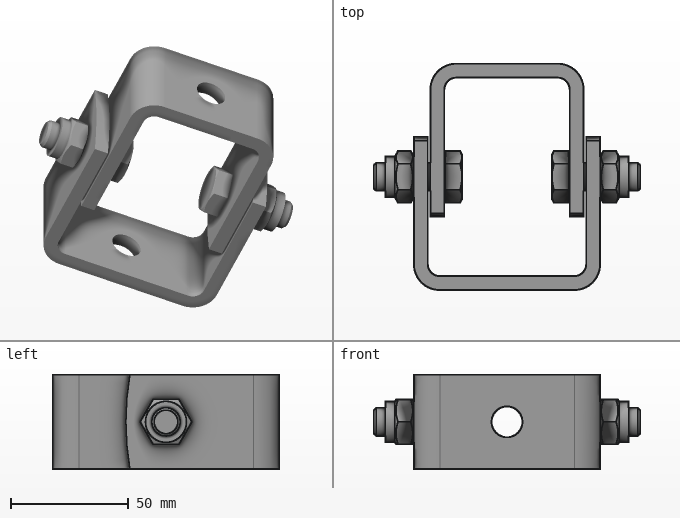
import cadquery as cq
import math

strip_thickness = 6.0
strip_width = 40.0
bend_inner_radius = 5.0
bend_outer_radius = bend_inner_radius + strip_thickness
leg_end_radius = 120.0

outer_bracket_width = 79.0
leg_clearance = 1.0
inner_bracket_width = outer_bracket_width - 2 * (strip_thickness + leg_clearance)
web_distance = 48.0
leg_overhang = 17.0
web_hole_diameter = 13.0

bolt_diameter = 12.0
bolt_length = 30.0
bolt_tip_diameter = 10.0
bolt_tip_chamfer_length = 1.2
head_height = 7.5
head_chamfer_diameter = 18.8
washer_face_diameter = 17.2
washer_face_height = 0.4

nut_hex_height = 8.0
nut_height = 12.0
nut_collar_diameter = 17.4

hex_across_flats = 19.0
hex_across_corners = hex_across_flats / math.cos(math.radians(30))
hex_chamfer_angle = 30.0

head_seat_x = inner_bracket_width / 2 - strip_thickness
nut_seat_x = outer_bracket_width / 2


def make_bracket(width):
    """U bracket with its web on the -Y side and crowned leg ends toward +Y."""
    total_length = web_distance + leg_overhang
    center_y = (leg_overhang - web_distance) / 2
    outside = (
        cq.Workplane("XY")
        .center(0, center_y)
        .box(width, total_length, strip_width)
        .edges("|Z and <Y")
        .fillet(bend_outer_radius)
    )
    inside = (
        cq.Workplane("XY")
        .center(0, center_y + strip_thickness)
        .box(width - 2 * strip_thickness, total_length, strip_width)
        .edges("|Z and <Y")
        .fillet(bend_inner_radius)
    )
    leg_end_shape = (
        cq.Workplane("YZ")
        .center(leg_overhang - leg_end_radius, 0)
        .circle(leg_end_radius)
        .extrude(width / 2, both=True)
    )
    web_hole = (
        cq.Workplane("XZ", origin=(0, -web_distance, 0))
        .circle(web_hole_diameter / 2)
        .extrude(-strip_thickness)
    )
    return outside.cut(inside).intersect(leg_end_shape).cut(web_hole)


def rod_along_x(diameter, start_x, end_x):
    """Round rod on the X axis."""
    return (
        cq.Workplane("YZ", origin=(start_x, 0, 0))
        .circle(diameter / 2)
        .extrude(end_x - start_x)
    )


def hexagon_along_x(start_x, end_x):
    """Hexagonal prism on the X axis with two corners on the Y axis."""
    return (
        cq.Workplane("YZ", origin=(start_x, 0, 0))
        .polygon(6, hex_across_corners)
        .extrude(end_x - start_x)
    )


def corner_cone(face_diameter, face_x, inward):
    """Cone that trims hexagon corners at face_x and widens along the inward X direction."""
    face_radius = face_diameter / 2
    reach = hex_across_flats
    depth = reach * math.tan(math.radians(hex_chamfer_angle))
    far_x = face_x + inward * depth
    return (
        cq.Workplane("XY")
        .moveTo(face_x, 0)
        .lineTo(face_x, face_radius)
        .lineTo(far_x, face_radius + reach)
        .lineTo(far_x, 0)
        .close()
        .revolve(360, (0, 0, 0), (1, 0, 0))
    )


def make_bolt():
    """Bolt of the +X side: head inside the inner bracket, tip toward +X."""
    head_face_x = head_seat_x - head_height
    hex_end_x = head_seat_x - washer_face_height
    head = hexagon_along_x(head_face_x, hex_end_x)
    head = head.intersect(corner_cone(head_chamfer_diameter, head_face_x, 1))
    washer_face = rod_along_x(washer_face_diameter, hex_end_x, head_seat_x)
    tip_chamfer_depth = (bolt_diameter - bolt_tip_diameter) / 2
    shank = (
        rod_along_x(bolt_diameter, head_seat_x, head_seat_x + bolt_length)
        .faces(">X")
        .chamfer(bolt_tip_chamfer_length, tip_chamfer_depth)
    )
    return head.union(washer_face).union(shank)


def make_nut():
    """Lock nut of the +X side, seated on the outer bracket leg."""
    hex_end_x = nut_seat_x + nut_hex_height
    body = hexagon_along_x(nut_seat_x, hex_end_x)
    body = body.intersect(corner_cone(nut_collar_diameter, nut_seat_x, 1))
    body = body.intersect(corner_cone(nut_collar_diameter, hex_end_x, -1))
    collar = rod_along_x(nut_collar_diameter, nut_seat_x, nut_seat_x + nut_height)
    return body.union(collar)


outer_bracket = make_bracket(outer_bracket_width)
inner_bracket = make_bracket(inner_bracket_width).rotate((0, 0, 0), (0, 0, 1), 180)
fastener = make_bolt().union(make_nut())

result = (
    outer_bracket
    .union(inner_bracket)
    .union(fastener)
    .union(fastener.mirror("YZ"))
)